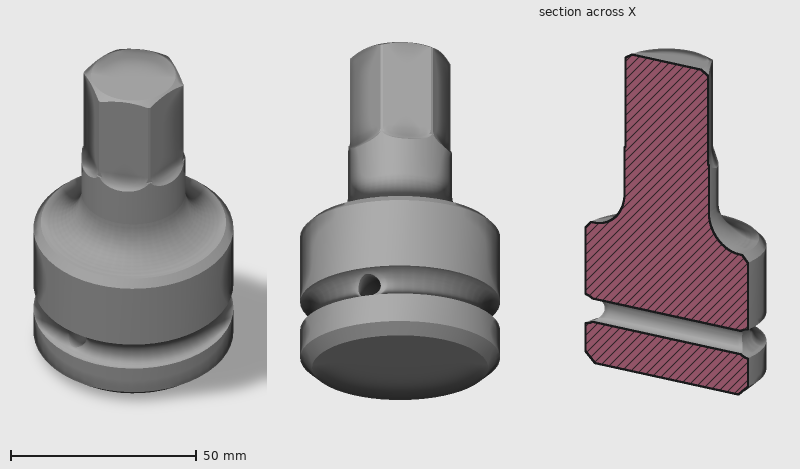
import cadquery as cq
import math

total_height = 90.0
body_radius = 27.0

bottom_chamfer_width = 3.2
bottom_chamfer_height = 2.9
shoulder_height = 40.0
shoulder_chamfer = 2.0
groove_radius = 4.05
groove_height = 14.9
pin_hole_diameter = 6.5

neck_radius = 14.0
neck_fillet = 10.0

hex_across_flats = 24.0
hex_corner_radius = 13.7
flat_bottom = 65.0
corner_bottom = 63.4
runout_radius = 5.0
tip_radius = 11.4
tip_chamfer_angle = 30.0
flat_count = 6


def turned_blank():
    """Revolve the body, groove, neck and chamfered bit tip in one piece."""
    fillet_middle = neck_fillet * (1 - math.sqrt(0.5))
    tip_drop = (hex_corner_radius - tip_radius) * math.tan(math.radians(tip_chamfer_angle))
    return (
        cq.Workplane("XZ")
        .lineTo(body_radius - bottom_chamfer_width, 0)
        .lineTo(body_radius, bottom_chamfer_height)
        .lineTo(body_radius, groove_height - groove_radius)
        .threePointArc(
            (body_radius - groove_radius, groove_height),
            (body_radius, groove_height + groove_radius),
        )
        .lineTo(body_radius, shoulder_height - shoulder_chamfer)
        .lineTo(body_radius - shoulder_chamfer, shoulder_height)
        .lineTo(neck_radius + neck_fillet, shoulder_height)
        .threePointArc(
            (neck_radius + fillet_middle, shoulder_height + fillet_middle),
            (neck_radius, shoulder_height + neck_fillet),
        )
        .lineTo(neck_radius, corner_bottom)
        .lineTo(hex_corner_radius, corner_bottom)
        .lineTo(hex_corner_radius, total_height - tip_drop)
        .lineTo(tip_radius, total_height)
        .lineTo(0, total_height)
        .close()
        .revolve(360, (0, 0), (0, 1))
    )


def flat_cutter():
    """Cutter for the hexagon face on +X, with its concave lower runout."""
    face_x = hex_across_flats / 2
    arc_offset = runout_radius * math.sqrt(0.5)
    return (
        cq.Workplane("XZ")
        .moveTo(face_x, total_height)
        .lineTo(face_x, flat_bottom)
        .threePointArc(
            (face_x + runout_radius - arc_offset, flat_bottom - arc_offset),
            (face_x + runout_radius, flat_bottom - runout_radius),
        )
        .lineTo(face_x + runout_radius, total_height)
        .close()
        .extrude(neck_radius, both=True)
    )


def pin_hole():
    """Retaining pin hole running right through the groove along Y."""
    return (
        cq.Workplane("XZ")
        .center(0, groove_height)
        .circle(pin_hole_diameter / 2)
        .extrude(body_radius, both=True)
    )


result = turned_blank()
cutter = flat_cutter()
for index in range(flat_count):
    angle = index * 360 / flat_count
    result = result.cut(cutter.rotate((0, 0, 0), (0, 0, 1), angle))
result = result.cut(pin_hole())